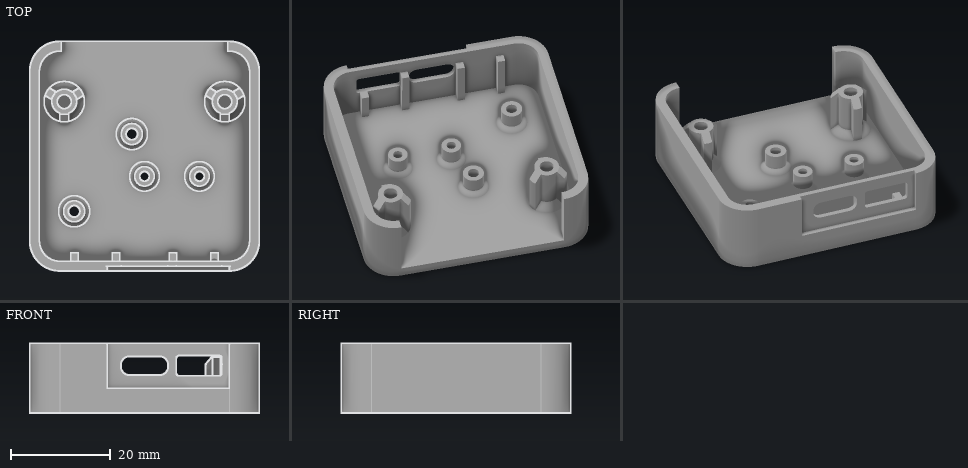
import cadquery as cq
import math

side = 46.0
height = 14.0
wall = 2.0
floor = 2.02
corner_radius = 6.05
opening_width = 33.4

post_spacing = 32.1
post_y = 10.9
post_diameter = 4.95
post_hole_diameter = 2.8
post_top = 11.25
post_foot_radius = 4.05
rib_count = 3
rib_first_angle = 30.0
rib_width = 1.75

standoff_top = 6.0
standoff_flare = 1.0
wide_standoff = (4.25, 2.25)
narrow_standoff = (3.9, 1.9)
standoffs = [
    (-2.55, 4.4, wide_standoff),
    (-14.08, -11.05, wide_standoff),
    (0.0, -4.05, narrow_standoff),
    (11.0, -4.05, narrow_standoff),
]

recess_left = -7.5
recess_right = 16.97
recess_bottom = 4.9
recess_depth = 1.0
recess_round = 0.2
port_z = 9.48
slot_length = 9.4
slot_height = 3.7
slot_corner_radius = 1.65
window_left = 6.4
window_right = 15.45
window_height = 4.0
window_corner_radius = 0.5

support_width = 1.5
support_depth = 1.65
support_offsets = (5.7, 14.0)

front_y = -side / 2
inner_side = side - 2 * wall


def rounded_block(size, radius, bottom, top):
    """Square block centred on Z with rounded vertical edges."""
    block = cq.Workplane("XY").workplane(offset=bottom).rect(size, size).extrude(top - bottom)
    return block.edges("|Z").fillet(radius)


def make_shell():
    """Open-topped tray with the +Y wall left out between its corners."""
    outer = rounded_block(side, corner_radius, 0, height)
    cavity = rounded_block(inner_side, corner_radius - wall, floor, height)
    gap = (
        cq.Workplane("XY")
        .box(opening_width, side / 2, height - floor, centered=(True, False, False))
        .translate((0, 0, floor))
    )
    return outer.cut(cavity).cut(gap)


def flared_post(radius, foot_radius, top):
    """Solid of a round post on the Z axis with a 45 degree flared foot on the floor."""
    flare = foot_radius - radius
    return (
        cq.Workplane("XZ")
        .polyline([
            (0, 0),
            (foot_radius, 0),
            (foot_radius, floor),
            (radius, floor + flare),
            (radius, top),
            (0, top),
        ])
        .close()
        .revolve(360, (0, 0, 0), (0, 1, 0))
    )


def screw_post():
    """Ribbed post; the ribs reach the edge of the foot and slope down from the post top at 45 degrees."""
    radius = post_diameter / 2
    post = flared_post(radius, post_foot_radius, post_top)
    rib = (
        cq.Workplane("XZ")
        .polyline([
            (0, 0),
            (post_foot_radius, 0),
            (post_foot_radius, post_top - (post_foot_radius - radius)),
            (radius, post_top),
            (0, post_top),
        ])
        .close()
        .extrude(rib_width / 2, both=True)
    )
    for index in range(rib_count):
        angle = rib_first_angle + index * 360 / rib_count
        post = post.union(rib.rotate((0, 0, 0), (0, 0, 1), angle))
    reach = cq.Workplane("XY").circle(post_foot_radius).extrude(post_top)
    return post.intersect(reach)


def round_hole(x, y, diameter, bottom, top):
    hole = cq.Workplane("XY").workplane(offset=bottom)
    return hole.center(x, y).circle(diameter / 2).extrude(top - bottom)


def add_screw_posts(body):
    for x in (-post_spacing / 2, post_spacing / 2):
        body = body.union(screw_post().translate((x, post_y, 0)))
        body = body.cut(round_hole(x, post_y, post_hole_diameter, floor, post_top))
    return body


def add_standoffs(body):
    """Standoffs whose holes pass through the floor."""
    for x, y, (diameter, hole_diameter) in standoffs:
        radius = diameter / 2
        standoff = flared_post(radius, radius + standoff_flare, standoff_top)
        body = body.union(standoff.translate((x, y, 0)))
        body = body.cut(round_hole(x, y, hole_diameter, 0, standoff_top))
    return body


def add_supports(body):
    """Blocks on the floor, level with the tops of the screw posts."""
    for offset in support_offsets:
        for x in (-offset, offset):
            block = cq.Workplane("XY").box(
                support_width, support_depth + wall / 2, post_top, centered=(True, False, False)
            )
            body = body.union(block.translate((x, front_y + wall / 2, 0)))
    return body


def cover_recess():
    """Shallow pocket, open at the top, with rounded bottom corners and side walls rounded over at the top."""
    r = recess_round
    bend = r * math.sqrt(0.5)
    profile = (
        cq.Workplane("XZ", origin=(0, front_y, 0))
        .moveTo(recess_left - r, height)
        .threePointArc((recess_left - r + bend, height - r + bend), (recess_left, height - r))
        .lineTo(recess_left, recess_bottom + r)
        .threePointArc((recess_left + r - bend, recess_bottom + r - bend), (recess_left + r, recess_bottom))
        .lineTo(recess_right - r, recess_bottom)
        .threePointArc((recess_right - r + bend, recess_bottom + r - bend), (recess_right, recess_bottom + r))
        .lineTo(recess_right, height - r)
        .threePointArc((recess_right + r - bend, height - r + bend), (recess_right + r, height))
        .close()
    )
    return profile.extrude(-recess_depth)


def port(left, right, port_height, radius, depth):
    """Round-cornered opening cut inward from the front face."""
    block = cq.Workplane("XY").box(right - left, depth, port_height)
    block = block.edges("|Y").fillet(radius)
    return block.translate(((left + right) / 2, front_y + depth / 2, port_z))


result = add_supports(add_standoffs(add_screw_posts(make_shell())))
result = result.cut(cover_recess())
result = result.cut(port(-slot_length / 2, slot_length / 2, slot_height, slot_corner_radius, wall))
window_depth = wall + support_depth
result = result.cut(port(window_left, window_right, window_height, window_corner_radius, window_depth))